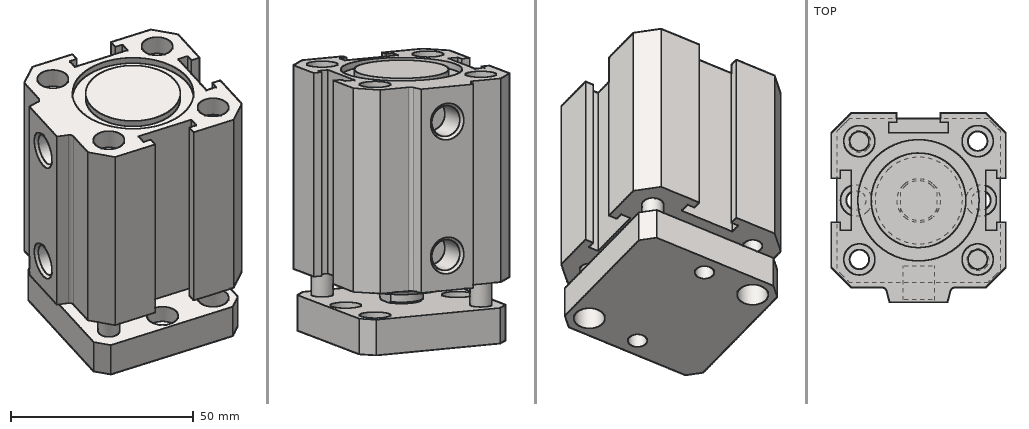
import cadquery as cq
import math

TOTAL_HEIGHT = 74.5
PLATE_THICKNESS = 10.0
PLATE_GAP = 7.5
HOUSING_BOTTOM = PLATE_THICKNESS + PLATE_GAP
HOUSING_HEIGHT = TOTAL_HEIGHT - HOUSING_BOTTOM
CORNER_OFFSET = 16.25

HOUSING_WIDTH = 48.0
HOUSING_CHAMFER = 5.5
HALF_WIDTH = HOUSING_WIDTH / 2
TOTAL_DEPTH = 52.0
RIB_HEIGHT = TOTAL_DEPTH - HOUSING_WIDTH
RIB_TIP_WIDTH = 15.95
RIB_FLANK_ANGLE = 15.0
RIB_ROOT_RADIUS = 1.2

SLOT_MOUTH_WIDTH = 12.0
SLOT_INNER_WIDTH = 16.5
SLOT_LIP = 2.5
SLOT_DEPTH = 5.5

CAP_RECESS_DIAMETER = 33.3
CAP_DIAMETER = 26.0
CAP_RECESS_DEPTH = 1.85

BOLT_DIAMETER = 5.3
BOLT_HEAD_DIAMETER = 8.6
BOLT_HEAD_DEPTH = 5.5

PORT_DIAMETER = 8.6
PORT_CHAMFER = 0.8
PORT_DEPTH = 10.0
PORT_INSET = 9.75

BOSS_DIAMETER = 26.0
BOSS_HEIGHT = 3.7
BOSS_CHAMFER = 1.05
BOSS_BOTTOM = HOUSING_BOTTOM - BOSS_HEIGHT

PLATE_WIDTH = 45.0
PLATE_CHAMFER = 3.5
PIN_DIAMETER = 6.0
ROD_DIAMETER = 12.0
ROD_END_CHAMFER = 0.5
ROD_FLAT_WIDTH = 10.0
ROD_FLAT_HEIGHT = 3.2
SCREW_OFFSET = 17.1
SCREW_DIAMETER = 5.3
SCREW_HEAD_DIAMETER = 8.6
SCREW_HEAD_DEPTH = 5.0


def chamfered_square(width, chamfer, bottom, height):
    return (
        cq.Workplane("XY", origin=(0, 0, bottom))
        .rect(width, width)
        .extrude(height)
        .edges("|Z")
        .chamfer(chamfer)
    )


def port_rib():
    """Trapezoid rib on the -Y side, with concave fillets where it leaves the wall."""
    lean = math.radians(RIB_FLANK_ANGLE)
    tip = RIB_TIP_WIDTH / 2
    root = tip + RIB_HEIGHT * math.tan(lean)
    wall_y = -HALF_WIDTH
    tip_y = wall_y - RIB_HEIGHT
    turn = math.pi / 2 - lean
    centre_x = root + RIB_ROOT_RADIUS * math.tan(turn / 2)
    centre_y = wall_y - RIB_ROOT_RADIUS

    def root_arc_point(angle):
        """Point on the +X root fillet, at an angle from the wall end of the arc."""
        return (
            centre_x - RIB_ROOT_RADIUS * math.sin(angle),
            centre_y + RIB_ROOT_RADIUS * math.cos(angle),
        )

    def mirrored(point):
        return (-point[0], point[1])

    wall_point = root_arc_point(0)
    middle_point = root_arc_point(turn / 2)
    flank_point = root_arc_point(turn)
    return (
        cq.Workplane("XY", origin=(0, 0, HOUSING_BOTTOM))
        .moveTo(wall_point[0], 0)
        .lineTo(*wall_point)
        .threePointArc(middle_point, flank_point)
        .lineTo(tip, tip_y)
        .lineTo(-tip, tip_y)
        .lineTo(*mirrored(flank_point))
        .threePointArc(mirrored(middle_point), mirrored(wall_point))
        .lineTo(-wall_point[0], 0)
        .close()
        .extrude(HOUSING_HEIGHT)
    )


def t_slot():
    """Cutter for the T-slot in the +Y side."""
    mouth = SLOT_MOUTH_WIDTH / 2
    inner = SLOT_INNER_WIDTH / 2
    lip_y = HALF_WIDTH - SLOT_LIP
    floor_y = HALF_WIDTH - SLOT_DEPTH
    outline = [
        (-mouth, HALF_WIDTH),
        (-mouth, lip_y),
        (-inner, lip_y),
        (-inner, floor_y),
        (inner, floor_y),
        (inner, lip_y),
        (mouth, lip_y),
        (mouth, HALF_WIDTH),
    ]
    return (
        cq.Workplane("XY", origin=(0, 0, HOUSING_BOTTOM))
        .polyline(outline)
        .close()
        .extrude(HOUSING_HEIGHT)
    )


def port(height):
    """Cutter for one chamfered air port, bored in from the rib face."""
    face = cq.Workplane("XZ", origin=(0, -HALF_WIDTH - RIB_HEIGHT, height))
    bore = face.circle(PORT_DIAMETER / 2).extrude(-PORT_DEPTH)
    mouth = cq.Solid.makeCone(
        PORT_DIAMETER / 2 + PORT_CHAMFER,
        PORT_DIAMETER / 2,
        PORT_CHAMFER,
        pnt=cq.Vector(0, -HALF_WIDTH - RIB_HEIGHT, height),
        dir=cq.Vector(0, 1, 0),
    )
    return bore.union(cq.Workplane(mouth))


def make_housing():
    body = chamfered_square(HOUSING_WIDTH, HOUSING_CHAMFER, HOUSING_BOTTOM, HOUSING_HEIGHT)
    body = body.union(port_rib())

    for angle in (-90, 0, 90):
        body = body.cut(t_slot().rotate((0, 0, 0), (0, 0, 1), angle))

    ring = (
        cq.Workplane("XY", origin=(0, 0, TOTAL_HEIGHT - CAP_RECESS_DEPTH))
        .circle(CAP_RECESS_DIAMETER / 2)
        .circle(CAP_DIAMETER / 2)
        .extrude(CAP_RECESS_DEPTH)
    )
    body = body.cut(ring)

    body = (
        cq.Workplane(body.val())
        .copyWorkplane(cq.Workplane("XY", origin=(0, 0, TOTAL_HEIGHT)))
        .rect(2 * CORNER_OFFSET, 2 * CORNER_OFFSET, forConstruction=True)
        .vertices()
        .cboreHole(BOLT_DIAMETER, BOLT_HEAD_DIAMETER, BOLT_HEAD_DEPTH)
    )

    for height in (HOUSING_BOTTOM + PORT_INSET, TOTAL_HEIGHT - PORT_INSET):
        body = body.cut(port(height))

    boss = (
        cq.Workplane("XY", origin=(0, 0, BOSS_BOTTOM))
        .circle(BOSS_DIAMETER / 2)
        .extrude(BOSS_HEIGHT)
        .faces("<Z")
        .chamfer(BOSS_CHAMFER)
    )
    return body.union(boss)


def make_rod():
    """Rod between end plate and boss, with two wrench flats facing -X and +X."""
    rod = (
        cq.Workplane("XY", origin=(0, 0, PLATE_THICKNESS))
        .circle(ROD_DIAMETER / 2)
        .extrude(BOSS_BOTTOM - PLATE_THICKNESS)
        .faces("<Z")
        .chamfer(ROD_END_CHAMFER)
    )
    flats = (
        cq.Workplane("XY", origin=(0, 0, PLATE_THICKNESS))
        .rect(2 * ROD_DIAMETER, 2 * ROD_DIAMETER)
        .rect(ROD_FLAT_WIDTH, 2 * ROD_DIAMETER)
        .extrude(ROD_FLAT_HEIGHT)
    )
    return rod.cut(flats)


def make_moving_plate():
    plate = chamfered_square(PLATE_WIDTH, PLATE_CHAMFER, 0, PLATE_THICKNESS)
    top = cq.Workplane("XY", origin=(0, 0, PLATE_THICKNESS))

    plate = (
        cq.Workplane(plate.val())
        .copyWorkplane(top)
        .pushPoints([(-SCREW_OFFSET, 0), (SCREW_OFFSET, 0)])
        .cboreHole(SCREW_DIAMETER, SCREW_HEAD_DIAMETER, SCREW_HEAD_DEPTH)
    )

    plate = (
        cq.Workplane(plate.val())
        .copyWorkplane(top)
        .pushPoints([(-CORNER_OFFSET, -CORNER_OFFSET), (CORNER_OFFSET, CORNER_OFFSET)])
        .hole(BOLT_HEAD_DIAMETER)
    )

    pins = (
        top.pushPoints([(-CORNER_OFFSET, CORNER_OFFSET), (CORNER_OFFSET, -CORNER_OFFSET)])
        .circle(PIN_DIAMETER / 2)
        .extrude(PLATE_GAP)
    )
    return plate.union(pins).union(make_rod())


housing = make_housing()
moving_plate = make_moving_plate()

result = cq.Compound.makeCompound([housing.val(), moving_plate.val()])